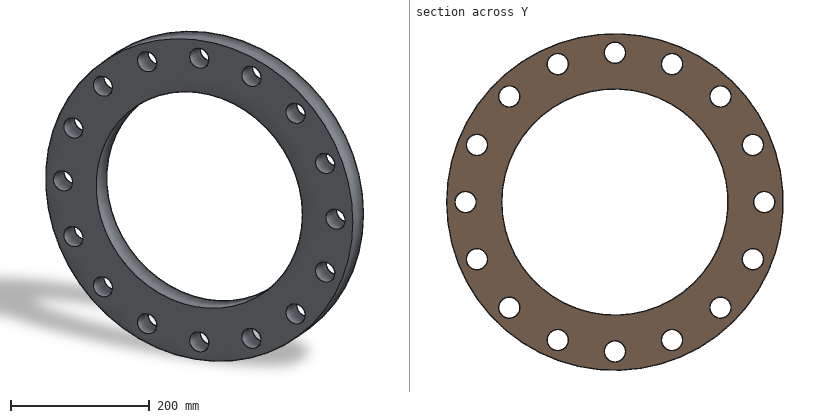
import cadquery as cq

outer_diameter = 485.0
bore_diameter = 325.5
thickness = 38.0

bolt_circle_diameter = 430.0
bolt_hole_diameter = 30.0
bolt_hole_count = 16

back_plane = cq.Workplane("XZ", origin=(0, thickness / 2, 0))
ring = (
    back_plane
    .circle(outer_diameter / 2)
    .circle(bore_diameter / 2)
    .extrude(thickness)
)

bolt_holes = (
    back_plane
    .polarArray(bolt_circle_diameter / 2, 0, 360, bolt_hole_count)
    .circle(bolt_hole_diameter / 2)
    .extrude(thickness)
)

result = ring.cut(bolt_holes)